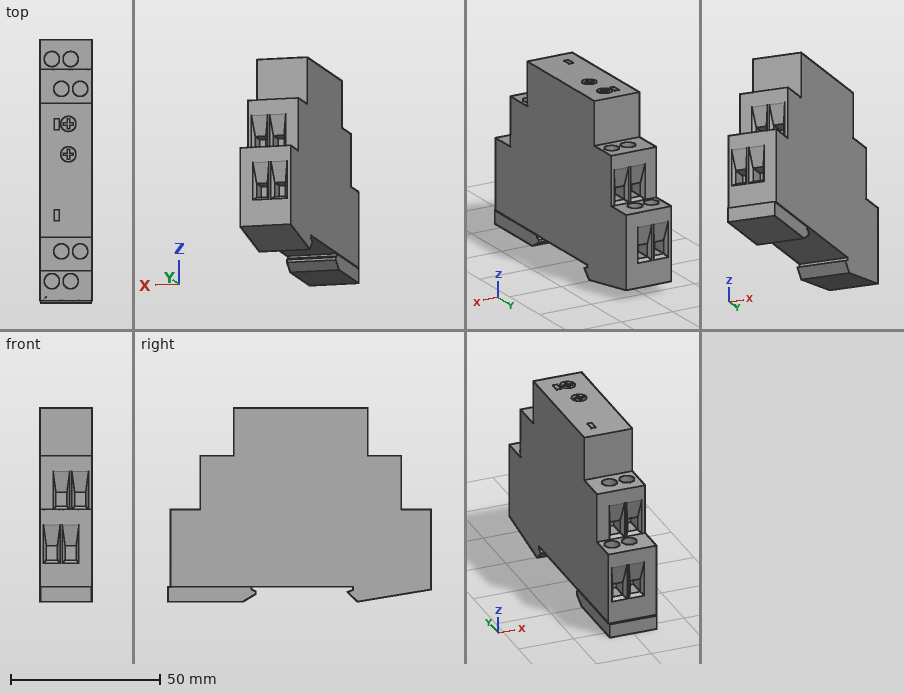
import cadquery as cq

WIDTH = 17.5
HOUSING_LENGTH = 87.5
MIDDLE_LENGTH = 67.5
TOP_LENGTH = 45.0
HEIGHT = 65.0
BASE_Z = 5.0
LOW_STEP_Z = 31.0
HIGH_STEP_Z = 49.0

HOOK_ROOT_Y = 17.5
HOOK_ROOT_Z = 4.0
HOOK_NOSE_Y = 15.6
HOOK_NOSE_Z = 3.3
HOOK_TOE_Y = 19.0
HOOK_HEEL_Z = 4.1

CLIP_WIDTH = 17.0
CLIP_OVERHANG = 0.86
CLIP_ROOT_Y = -16.5
CLIP_ROOT_Z = 4.2
CLIP_NOSE_Y = -15.1
CLIP_NOSE_TOP_Z = 3.5
CLIP_NOSE_LOW_Z = 2.6
CLIP_TOE_Y = -19.4

TERMINAL_PITCH = 6.3
ROW_SHIFT = 1.6
SCREW_HOLE_DIAMETER = 5.1
SCREW_HOLE_DEPTH = 2.5
SCREW_HOLE_SETBACK = 6.5
FUNNEL_WIDTH = 5.6
FUNNEL_HEIGHT = 12.8
FUNNEL_FLOOR_DROP = HIGH_STEP_Z - LOW_STEP_Z
FUNNEL_DEPTH = 1.4
TUNNEL_WIDTH = 3.7
TUNNEL_HEIGHT = 4.8
TUNNEL_FLOOR_RISE = 1.0
TUNNEL_DEPTH = 6.0

DIAL_DIAMETER = 5.1
DIAL_THICKNESS = 2.0
DIAL_X = 0.8
DIAL_YS = (15.5, 5.3)
CROSS_LENGTH = 3.4
CROSS_SLOT_WIDTH = 0.75
CROSS_DEPTH = 0.8
LAMP_WIDTH = 1.6
LAMP_LENGTH = 3.6
LAMP_THICKNESS = 1.0
LAMP_X = -3.1
LAMP_YS = (15.4, -15.1)


def side_extrusion(outline, width):
    """Extrude a (Y, Z) outline along X, centred on X = 0."""
    return cq.Workplane("YZ").polyline(outline).close().extrude(width / 2, both=True)


def make_dial(y):
    """Round dial with a cross recess for a screwdriver."""
    top = cq.Workplane("XY", origin=(DIAL_X, y, HEIGHT))
    cross = top.rect(CROSS_LENGTH, CROSS_SLOT_WIDTH).extrude(-CROSS_DEPTH)
    cross = cross.union(top.rect(CROSS_SLOT_WIDTH, CROSS_LENGTH).extrude(-CROSS_DEPTH))
    return top.circle(DIAL_DIAMETER / 2).extrude(-DIAL_THICKNESS).cut(cross)


def make_dial_seat(y):
    """Round recess in the housing that a dial fills."""
    seat = cq.Workplane("XY", origin=(DIAL_X, y, HEIGHT))
    return seat.circle(DIAL_DIAMETER / 2).extrude(-DIAL_THICKNESS)


def make_lamp(y):
    """Rectangular lamp window; the same block cuts its seat."""
    top = cq.Workplane("XY", origin=(LAMP_X, y, HEIGHT))
    return top.rect(LAMP_WIDTH, LAMP_LENGTH).extrude(-LAMP_THICKNESS)


def make_terminal_cut(x, face_y, step_z):
    """Screw hole and wire entry of one front terminal, below the step at step_z."""
    screw_hole = (
        cq.Workplane("XY", origin=(x, face_y + SCREW_HOLE_SETBACK, step_z))
        .circle(SCREW_HOLE_DIAMETER / 2)
        .extrude(-SCREW_HOLE_DEPTH)
    )
    funnel_floor_z = step_z - FUNNEL_FLOOR_DROP
    mouth_z = funnel_floor_z + FUNNEL_HEIGHT / 2
    tunnel_z = funnel_floor_z + TUNNEL_FLOOR_RISE + TUNNEL_HEIGHT / 2
    funnel = (
        cq.Workplane("XZ", origin=(x, face_y, mouth_z))
        .rect(FUNNEL_WIDTH, FUNNEL_HEIGHT)
        .workplane(offset=-FUNNEL_DEPTH)
        .center(0, tunnel_z - mouth_z)
        .rect(TUNNEL_WIDTH, TUNNEL_HEIGHT)
        .loft(ruled=True)
    )
    tunnel = (
        cq.Workplane("XZ", origin=(x, face_y + FUNNEL_DEPTH, tunnel_z))
        .rect(TUNNEL_WIDTH, TUNNEL_HEIGHT)
        .extrude(-TUNNEL_DEPTH)
    )
    return [screw_hole, funnel, tunnel]


def make_housing():
    """Stepped housing with its hook, terminals, and seats for the dials and lamps."""
    low_y = HOUSING_LENGTH / 2
    middle_y = MIDDLE_LENGTH / 2
    top_y = TOP_LENGTH / 2
    housing = side_extrusion(
        [
            (-low_y, BASE_Z),
            (-low_y, LOW_STEP_Z),
            (-middle_y, LOW_STEP_Z),
            (-middle_y, HIGH_STEP_Z),
            (-top_y, HIGH_STEP_Z),
            (-top_y, HEIGHT),
            (top_y, HEIGHT),
            (top_y, HIGH_STEP_Z),
            (middle_y, HIGH_STEP_Z),
            (middle_y, LOW_STEP_Z),
            (low_y, LOW_STEP_Z),
            (low_y, HOOK_HEEL_Z),
            (HOOK_TOE_Y, 0),
            (HOOK_NOSE_Y, HOOK_NOSE_Z),
            (HOOK_ROOT_Y, HOOK_ROOT_Z),
            (HOOK_ROOT_Y, BASE_Z),
        ],
        WIDTH,
    )
    for row_x, face_y, step_z in (
        (-ROW_SHIFT, -low_y, LOW_STEP_Z),
        (ROW_SHIFT, -middle_y, HIGH_STEP_Z),
    ):
        for x in (row_x - TERMINAL_PITCH / 2, row_x + TERMINAL_PITCH / 2):
            for cutter in make_terminal_cut(x, face_y, step_z):
                housing = housing.cut(cutter).cut(cutter.mirror("XZ"))
    for y in DIAL_YS:
        housing = housing.cut(make_dial_seat(y))
    for y in LAMP_YS:
        housing = housing.cut(make_lamp(y))
    return housing


def make_clip():
    """Rail clip under the front of the housing, standing out past its front face."""
    front_y = -HOUSING_LENGTH / 2 - CLIP_OVERHANG
    return side_extrusion(
        [
            (front_y, 0),
            (front_y, BASE_Z),
            (CLIP_ROOT_Y, BASE_Z),
            (CLIP_ROOT_Y, CLIP_ROOT_Z),
            (CLIP_NOSE_Y, CLIP_NOSE_TOP_Z),
            (CLIP_NOSE_Y, CLIP_NOSE_LOW_Z),
            (CLIP_TOE_Y, 0),
        ],
        CLIP_WIDTH,
    )


housing = make_housing()
clip = make_clip()
dials = [make_dial(y) for y in DIAL_YS]
lamps = [make_lamp(y) for y in LAMP_YS]

result = cq.Compound.makeCompound(
    [housing.val(), clip.val(), *[dial.val() for dial in dials], *[lamp.val() for lamp in lamps]]
)